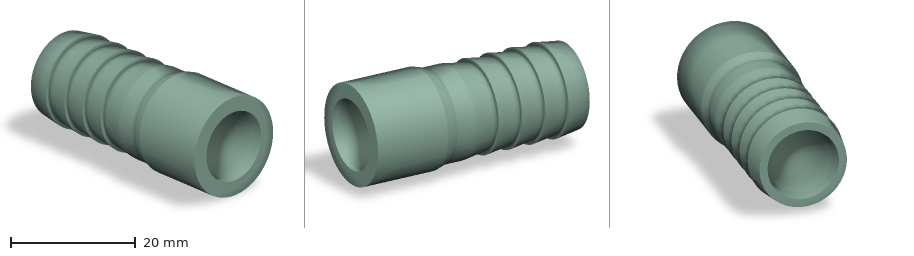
import cadquery as cq

total_length = 40.0
bore_diameter = 12.0
body_diameter = 17.2

barb_count = 5
barb_pitch = 4.3
barb_root_diameter = 14.7
barb_crest_diameter = 16.0

neck_end = 25.0
cone_end = 27.0

bore_radius = bore_diameter / 2
body_radius = body_diameter / 2
barb_root_radius = barb_root_diameter / 2
barb_crest_radius = barb_crest_diameter / 2


def add_barbs(profile):
    """Draw the sawtooth barbs; the last crest runs straight into the neck."""
    for index in range(barb_count):
        profile = profile.lineTo(index * barb_pitch, barb_root_radius)
        profile = profile.lineTo((index + 1) * barb_pitch, barb_crest_radius)
    return profile


def make_hose_tail():
    """Revolve the half section of the tube about the X axis."""
    profile = cq.Workplane("XZ").moveTo(0, bore_radius)
    profile = add_barbs(profile)
    profile = (
        profile.lineTo(neck_end, barb_crest_radius)
        .lineTo(cone_end, body_radius)
        .lineTo(total_length, body_radius)
        .lineTo(total_length, bore_radius)
        .close()
    )
    return profile.revolve(360, (0, 0, 0), (1, 0, 0))


result = make_hose_tail()